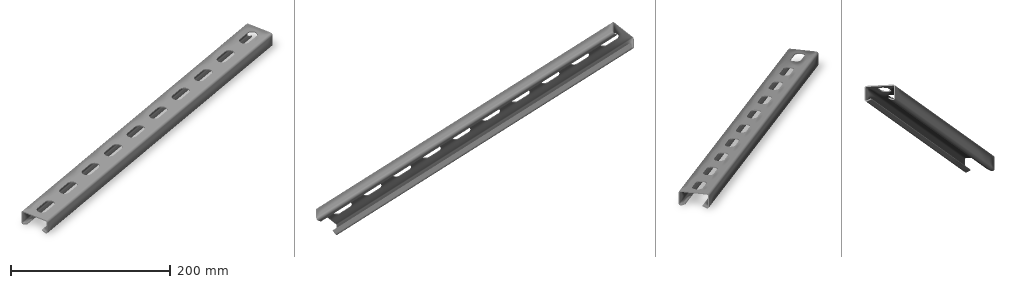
import cadquery as cq
import math

length = 500.0
width = 40.0
height = 20.0
thickness = 1.5
bend_radius = 3.0
inner_radius = bend_radius - thickness

mouth_width = 22.0
lip_angle = 25.0

slot_count = 10
slot_pitch = length / slot_count
slot_length = 30.0
slot_width = 13.5

half_width = width / 2
bend_x = half_width - bend_radius
top_bend_z = height - bend_radius
bottom_bend_z = bend_radius


def on_arc(center_z, radius, angle):
    """Point on a right-hand bend, with the angle in degrees from +X."""
    a = math.radians(angle)
    return (bend_x + radius * math.cos(a), center_z + radius * math.sin(a))


lip_start_angle = -90.0 - lip_angle
bend_mid_angle = lip_start_angle / 2
lip_outer_start = on_arc(bottom_bend_z, bend_radius, lip_start_angle)
lip_inner_start = on_arc(bottom_bend_z, inner_radius, lip_start_angle)

lip_rise = math.radians(lip_angle)
lip_run = lip_outer_start[0] - mouth_width / 2
lip_climb = lip_run * math.tan(lip_rise)
tip_outer = (lip_outer_start[0] - lip_run, lip_outer_start[1] + lip_climb)
tip_inner = (lip_inner_start[0] - lip_run, lip_inner_start[1] + lip_climb)


def make_half_channel():
    """Right half of the folded sheet, from the middle of the web to the lip."""
    return (
        cq.Workplane("XZ", origin=(0, length / 2, 0))
        .moveTo(0, height)
        .lineTo(bend_x, height)
        .threePointArc(on_arc(top_bend_z, bend_radius, 45), (half_width, top_bend_z))
        .lineTo(half_width, bottom_bend_z)
        .threePointArc(on_arc(bottom_bend_z, bend_radius, bend_mid_angle), lip_outer_start)
        .lineTo(*tip_outer)
        .lineTo(*tip_inner)
        .lineTo(*lip_inner_start)
        .threePointArc(
            on_arc(bottom_bend_z, inner_radius, bend_mid_angle),
            (half_width - thickness, bottom_bend_z),
        )
        .lineTo(half_width - thickness, top_bend_z)
        .threePointArc(on_arc(top_bend_z, inner_radius, 45), (bend_x, height - thickness))
        .lineTo(0, height - thickness)
        .close()
        .extrude(length)
    )


def make_slots():
    """Evenly spaced round-ended cutters through the web."""
    return (
        cq.Workplane("XY", origin=(0, 0, height - thickness))
        .rarray(5, slot_pitch, 1, slot_count)
        .slot2D(slot_length, slot_width, 90)
        .extrude(thickness)
    )


half_channel = make_half_channel()
channel = half_channel.union(half_channel.mirror("YZ")).clean()
result = channel.cut(make_slots())